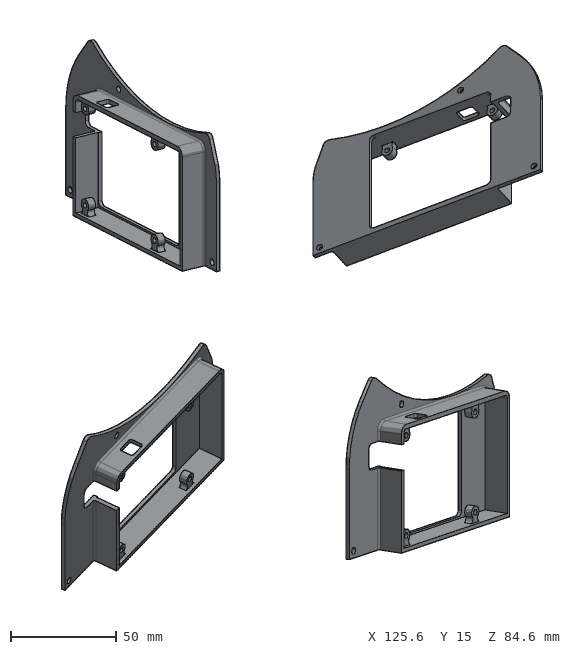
import cadquery as cq
import math

width = 125.6
depth = 15.0
plate_thickness = 2.0
plate_front = depth - plate_thickness

left_straight_top = 44
left_arc_end = (11.0, 74.6)
left_peak = (20.3, 85.7)
valley = (85.9, 62.9)
right_peak = (118.9, 68.1)
right_arc_start = (124.5, 53.5)
right_straight_top = 45.2
peak_radius = 3.0

frame_left = 24.7
frame_right = 115.9
frame_top = 62.0
frame_corner_radius = 4.3
left_wall = 2.3
right_wall = 1.9
top_wall = 2.3
bottom_wall = 2.0
cavity_corner_radius = 1.8
cavity_left = frame_left + left_wall
cavity_right = frame_right - right_wall
cavity_top = frame_top - top_wall
root_fillet = 1.0
base_margin = 2.5

opening_left = 27.5
opening_right = 94.5
opening_bottom = 3.0
opening_radius = 2.5

notch_left = 16.5
notch_bottom = 40.1
notch_top = 52.9
notch_radius = 2.5

window_left = 41.1
window_right = 50.1
window_front = 2.0
window_back = 9.3
window_radius = 1.3

lug_columns = (31.9, 89.9)
lower_lug_z = 7.0
upper_lug_z = 55.9
lug_radius = 3.0
lug_hole_diameter = 2.6
lug_front = 2.0
lug_thickness = 4.0
lug_root_width = 6.5
upper_waist_width = 5.3
lower_waist_width = 4.0
lower_waist_height = 1.8
upper_waist_height = 1.4
lug_shoulder_angle = 25

mount_hole_diameter = 3.1
mount_hole_points = [(3.6, 3.6), (width - 3.6, 3.6), (44.1, 67.2)]


def extrude_back(sketch_front, length, draw):
    """Extrude an X-Z outline toward +Y, starting at y = sketch_front."""
    plane = cq.Workplane("XZ", origin=(0, sketch_front, 0))
    return draw(plane).extrude(-length)


def block(x_range, y_range, z_range):
    """Box between the given limits."""
    (x0, x1), (y0, y1), (z0, z1) = x_range, y_range, z_range
    return cq.Workplane("XY").box(x1 - x0, y1 - y0, z1 - z0, centered=False).translate((x0, y0, z0))


def bow_middle(start, end):
    """Middle of the arc that leaves start along Z and finishes at end."""
    across = end[0] - start[0]
    up = end[1] - start[1]
    radius = (across**2 + up**2) / (2 * abs(across))
    half_turn = math.asin(up / radius) / 2
    bow = math.copysign(radius * (1 - math.cos(half_turn)), across)
    return start[0] + bow, start[1] + radius * math.sin(half_turn)


def plate_outline(plane):
    left_start = (0, left_straight_top)
    right_end = (width, right_straight_top)
    return (
        plane.moveTo(0, 0)
        .lineTo(*left_start)
        .threePointArc(bow_middle(left_start, left_arc_end), left_arc_end)
        .lineTo(*left_peak)
        .threePointArc(valley, right_peak)
        .lineTo(*right_arc_start)
        .threePointArc(bow_middle(right_end, right_arc_start), right_end)
        .lineTo(width, 0)
        .close()
    )


def edges_at(point):
    """Selector for the edge along Y nearest to an X-Z point of the plate."""
    x, z = point
    return cq.selectors.NearestToPointSelector((x, depth - plate_thickness / 2, z))


def make_plate():
    plate = extrude_back(plate_front, plate_thickness, plate_outline)
    for peak in (left_peak, right_peak):
        plate = plate.edges("|Y").edges(edges_at(peak)).fillet(peak_radius)
    return plate


def make_frame():
    """Solid frame block with a concave fillet at its root, trimmed to the plate outline."""
    frame = block((frame_left, frame_right), (0, depth), (-base_margin, frame_top))
    frame = frame.edges("|Y and >Z").fillet(frame_corner_radius)
    base = block(
        (frame_left - base_margin, frame_right + base_margin),
        (plate_front, depth),
        (-base_margin, frame_top + base_margin),
    )
    root_middle = ((frame_left + frame_right) / 2, plate_front, frame_top)
    frame = frame.union(base).edges(cq.selectors.NearestToPointSelector(root_middle)).fillet(root_fillet)
    walls = block((frame_left, frame_right), (0, plate_front), (0, frame_top))
    fillet_zone = extrude_back(plate_front - root_fillet, root_fillet, plate_outline)
    return frame.intersect(walls.union(fillet_zone))


def make_cavity():
    cavity = block((cavity_left, cavity_right), (0, plate_front), (bottom_wall, cavity_top))
    return cavity.edges("|Y and >Z").fillet(cavity_corner_radius)


def make_opening():
    opening = block((opening_left, opening_right), (plate_front, depth), (opening_bottom, cavity_top))
    return opening.edges("|Y").fillet(opening_radius)


def make_notch():
    notch = block((notch_left, opening_left), (0, depth), (notch_bottom, notch_top))
    return notch.edges("|Y and <X").fillet(notch_radius)


def make_window():
    window = block((window_left, window_right), (window_front, window_back), (cavity_top, frame_top))
    return window.edges("|Z").fillet(window_radius)


def make_lug(x, z, wall_z, waist_width, waist_z):
    """Round eye joined to a wall by a neck with concave sides, narrowest at waist_z."""
    half_root = lug_root_width / 2
    half_waist = waist_width / 2
    shoulder_angle = math.radians(lug_shoulder_angle)
    half_shoulder = lug_radius * math.cos(shoulder_angle)
    shoulder_z = z - math.copysign(lug_radius * math.sin(shoulder_angle), z - wall_z)

    def neck_outline(plane):
        return (
            plane.moveTo(x - half_root, wall_z)
            .threePointArc((x - half_waist, waist_z), (x - half_shoulder, shoulder_z))
            .lineTo(x + half_shoulder, shoulder_z)
            .threePointArc((x + half_waist, waist_z), (x + half_root, wall_z))
            .close()
        )

    neck = extrude_back(lug_front, lug_thickness, neck_outline)
    eye = extrude_back(lug_front, lug_thickness, lambda plane: plane.center(x, z).circle(lug_radius))
    hole = extrude_back(
        lug_front, lug_thickness, lambda plane: plane.center(x, z).circle(lug_hole_diameter / 2)
    )
    return neck.union(eye).cut(hole)


def make_mount_holes():
    return extrude_back(
        plate_front,
        plate_thickness,
        lambda plane: plane.pushPoints(mount_hole_points).circle(mount_hole_diameter / 2),
    )


result = make_plate().union(make_frame())
result = result.cut(make_cavity()).cut(make_opening())
result = result.cut(make_notch()).cut(make_window()).cut(make_mount_holes())
for lug_x in lug_columns:
    lower_lug = make_lug(
        lug_x, lower_lug_z, bottom_wall, lower_waist_width, bottom_wall + lower_waist_height
    )
    upper_lug = make_lug(lug_x, upper_lug_z, cavity_top, upper_waist_width, cavity_top - upper_waist_height)
    result = result.union(lower_lug).union(upper_lug)